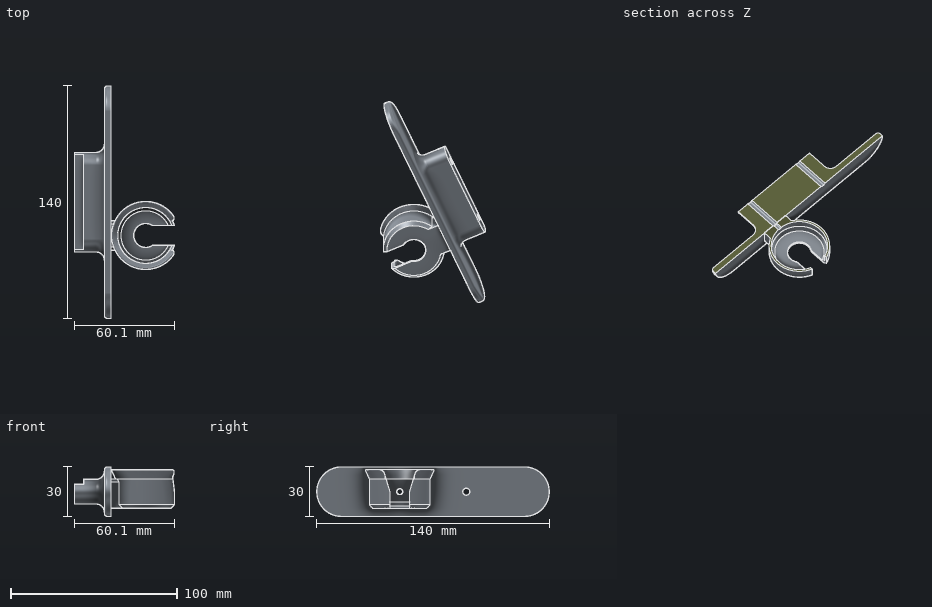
import cadquery as cq


plate_length = 140.0
plate_height = 30.0
plate_thickness = 4.0
plate_edge_round = 2.0
plate_front = -plate_thickness

boss_length = 60.0
boss_height = plate_height / 2
boss_depth = 17.9
boss_root_fillet = 4.9
boss_front = plate_front - boss_depth
notch_depth = 5.5
notch_floor = 4.5

screw_offset = 20.0
plate_hole_diameter = 4.0
arm_hole_diameter = 3.4

cup_x = 20.9
cup_y = -screw_offset
cup_bottom = -10.1
cup_top = 13.3
cup_radius = 18.3
flare_bottom = 7.7
rim_radius = cup_x
rim_round = 0.5
wall = 1.5
base_chamfer_height = 2.2
base_radius = 16.2
floor_top = cup_bottom + wall
floor_radius = 14.8

floor_hole_diameter = 14.3
slot_width = 11.8
mouth_bottom = 0.0
mouth_width = 19.9
mouth_corner_round = 3.4

arm_width = 17.9
arm_top_chamfer = 2.0

clearance = 1.4


def stadium_bar(length, height, x_start, x_end):
    """Bar along X whose section is a stadium lying along Y."""
    return cq.Workplane("YZ").workplane(offset=x_start).slot2D(length, height).extrude(x_end - x_start)


def screw_hole(y, diameter, x_start, x_end):
    """Cylinder along X that cuts a screw hole."""
    return (
        cq.Workplane("YZ", origin=(x_start, y, 0))
        .circle(diameter / 2)
        .extrude(x_end - x_start)
    )


def revolved_about_cup_axis(outline):
    """Turn an outline of (radius, Z) points about the upright axis of the cup."""
    return (
        cq.Workplane("XZ")
        .polyline(outline)
        .close()
        .revolve(360, (0, 0), (0, 1))
        .translate((cup_x, cup_y, 0))
    )


def bracket_notch():
    """Step cut along the upper front edge of the boss."""
    return cq.Workplane("XY").box(
        notch_depth, boss_length, boss_height, centered=(False, True, False)
    ).translate((boss_front, 0, notch_floor))


def make_bracket():
    """Rounded plate with a notched mounting boss and two screw holes."""
    plate = stadium_bar(plate_length, plate_height, plate_front, 0)
    plate = plate.faces("<X").edges().fillet(plate_edge_round)
    boss = stadium_bar(boss_length, boss_height, boss_front, plate_front)

    boss_root = cq.selectors.BoxSelector(
        (plate_front - clearance, -boss_length / 2 - clearance, -boss_height / 2 - clearance),
        (plate_front + clearance, boss_length / 2 + clearance, boss_height / 2 + clearance),
    )
    bracket = plate.union(boss).edges(boss_root).fillet(boss_root_fillet)

    bracket = bracket.cut(bracket_notch())
    for y in (-screw_offset, screw_offset):
        bracket = bracket.cut(screw_hole(y, plate_hole_diameter, boss_front, 0))
    return bracket


def cup_envelope():
    """Outside of the cup as a solid: chamfered base, straight side, flared rim."""
    return revolved_about_cup_axis([
        (0, cup_bottom),
        (base_radius, cup_bottom),
        (cup_radius, cup_bottom + base_chamfer_height),
        (cup_radius, flare_bottom),
        (rim_radius, cup_top),
        (0, cup_top),
    ])


def cup_cavity():
    """Hollow of the cup, following the outside one wall further in."""
    return revolved_about_cup_axis([
        (0, floor_top),
        (floor_radius, floor_top),
        (cup_radius - wall, floor_top + base_chamfer_height),
        (cup_radius - wall, flare_bottom),
        (rim_radius - wall, cup_top),
        (0, cup_top),
    ])


def floor_hole():
    """Round hole through the floor on the cup axis."""
    return (
        cq.Workplane("XY", origin=(cup_x, cup_y, cup_bottom))
        .circle(floor_hole_diameter / 2)
        .extrude(floor_top - cup_bottom)
    )


def side_opening():
    """Slot towards +X that widens upwards and rounds over onto the rim."""
    right_side = [
        (slot_width / 2, cup_bottom),
        (slot_width / 2, mouth_bottom),
        (mouth_width / 2, cup_top),
        (rim_radius, cup_top),
        (rim_radius, cup_top + clearance),
    ]
    left_side = [(-y, z) for y, z in reversed(right_side)]
    opening = (
        cq.Workplane("YZ", origin=(cup_x, cup_y, 0))
        .polyline(right_side + left_side)
        .close()
        .extrude(rim_radius + clearance)
    )
    mouth_corners = cq.selectors.BoxSelector(
        (cup_x, cup_y - mouth_width / 2 - clearance, cup_top - clearance / 2),
        (cup_x + rim_radius, cup_y + mouth_width / 2 + clearance, cup_top + clearance / 2),
    )
    return opening.edges("|X").edges(mouth_corners).fillet(mouth_corner_round)


def holder_arm():
    """Block from the plate to the cup axis with its upper long edges chamfered."""
    arm = cq.Workplane("XY").box(
        cup_x, arm_width, flare_bottom - cup_bottom, centered=(False, True, False)
    )
    arm = arm.edges("|X and >Z").chamfer(arm_top_chamfer)
    return arm.translate((0, cup_y, cup_bottom))


def make_holder():
    """Open-sided cup on an arm that is screwed to the back of the plate."""
    envelope = cup_envelope()
    cup = envelope.cut(cup_cavity()).cut(side_opening())
    cup = cup.faces(">Z").edges().fillet(rim_round)
    cup = cup.cut(floor_hole())
    arm = holder_arm().cut(envelope)
    return cup.union(arm).cut(screw_hole(cup_y, arm_hole_diameter, 0, cup_x))


bracket = make_bracket()
holder = make_holder()
result = cq.Compound.makeCompound([bracket.val(), holder.val()])